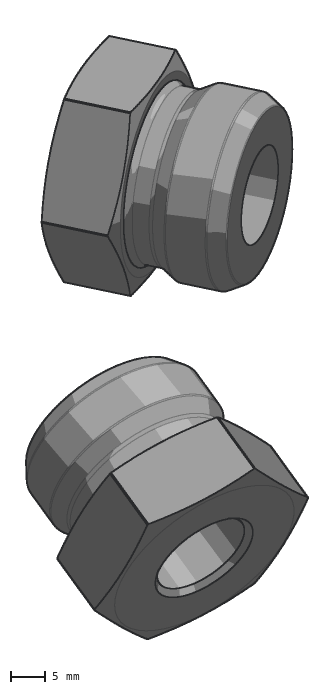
import cadquery as cq
import math

total_length = 28.0
hex_length = 12.0
across_flats = 32.0
across_corners = 36.83

hex_face_diameter = 30.95
hex_chamfer_angle = 15.0

neck_diameter = 26.9
neck_blend_radius = 1.25
root_blend_angle = 60.0
cone_angle = 30.0
collar_diameter = 30.0
collar_start = 18.8
collar_end = 25.3
collar_blend_radius = 0.5
nose_blend_radius = 0.25

bore_diameter = 15.03
bore_mouth_diameter = 16.83
bore_chamfer_angle = 45.0


def revolve_about_x(profile):
    """Revolve a closed (x, radius) profile about the part axis."""
    return profile.close().revolve(360, (0, 0, 0), (1, 0, 0))


def make_hexagon():
    """Hexagon with corners on Y, rounded off by a double-chamfered envelope."""
    corner_radius = across_corners / 2
    face_radius = hex_face_diameter / 2
    chamfer_length = (corner_radius - face_radius) * math.tan(math.radians(hex_chamfer_angle))
    sharp_corners = across_flats / math.cos(math.radians(30))
    prism = cq.Workplane("YZ").polygon(6, sharp_corners).extrude(hex_length)
    envelope = revolve_about_x(
        cq.Workplane("XY")
        .lineTo(0, face_radius)
        .lineTo(chamfer_length, corner_radius)
        .lineTo(hex_length - chamfer_length, corner_radius)
        .lineTo(hex_length, face_radius)
        .lineTo(hex_length, 0)
    )
    return prism.intersect(envelope)


def make_spigot():
    """Necked spigot: root blend, neck, flared collar and conical nose."""
    neck_radius = neck_diameter / 2
    collar_radius = collar_diameter / 2
    slope = math.tan(math.radians(cone_angle))
    flare_start = collar_start - (collar_radius - neck_radius) / slope
    nose_radius = collar_radius - (total_length - collar_end) * slope

    root = math.radians(root_blend_angle)
    arc_center_x = hex_length + neck_blend_radius * math.sin(root)
    arc_center_radius = neck_radius + neck_blend_radius

    def root_point(angle):
        return (
            arc_center_x - neck_blend_radius * math.sin(angle),
            arc_center_radius - neck_blend_radius * math.cos(angle),
        )

    body = revolve_about_x(
        cq.Workplane("XY")
        .moveTo(hex_length, 0)
        .lineTo(*root_point(root))
        .threePointArc(root_point(root / 2), root_point(0))
        .lineTo(flare_start, neck_radius)
        .lineTo(collar_start, collar_radius)
        .lineTo(collar_end, collar_radius)
        .lineTo(total_length, nose_radius)
        .lineTo(total_length, 0)
    )

    blends = (
        (flare_start, neck_blend_radius),
        (collar_start, collar_blend_radius),
        (collar_end, collar_blend_radius),
        (total_length, nose_blend_radius),
    )
    pick_margin = 0.05
    for x, blend_radius in blends:
        corner = cq.selectors.BoxSelector(
            (x - pick_margin, -collar_diameter, -collar_diameter),
            (x + pick_margin, collar_diameter, collar_diameter),
            boundingbox=True,
        )
        body = body.edges(corner).fillet(blend_radius)
    return body


def make_bore():
    """Through bore with a chamfered mouth on the hexagon face."""
    bore_radius = bore_diameter / 2
    mouth_radius = bore_mouth_diameter / 2
    chamfer_depth = (mouth_radius - bore_radius) / math.tan(math.radians(bore_chamfer_angle))
    return revolve_about_x(
        cq.Workplane("XY")
        .lineTo(0, mouth_radius)
        .lineTo(chamfer_depth, bore_radius)
        .lineTo(total_length, bore_radius)
        .lineTo(total_length, 0)
    )


result = make_hexagon().union(make_spigot()).cut(make_bore())